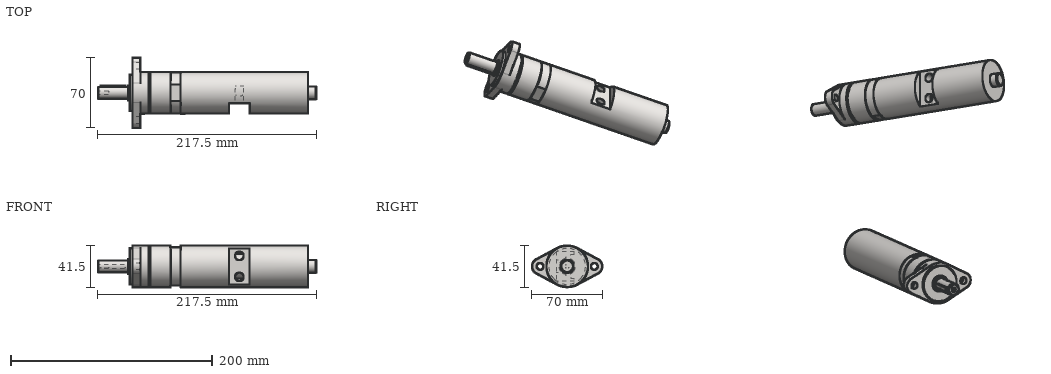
import cadquery as cq
import math

length = 217.5
body_dia = 41.5

seal_start = 30.2
pilot_start = 31.5
flange_start = 34.4
neck_start = 50.5
neck_end = 52.2
wrench_start = 72.2
wrench_end = 82.2
body_end = 209.2

shaft_dia = 12.0
shaft_chamfer = 0.9
stub_dia = 13.0
stub_chamfer_length = 1.0
stub_chamfer_depth = 0.7
key_start = 2.6
key_length = 25.0
key_width = 4.0
key_height = 1.5
center_hole_dia = 3.3
center_hole_depth = 10.9
center_sink_dia = 4.4
drill_tip_angle = 118.0

seal_dia = 15.0
seal_recess_dia = 16.0
seal_recess_depth = 0.7

pilot_dia = 36.0
flange_thickness = 8.0
ear_radius = 8.0
ear_offset = 27.0
mount_hole_dia = 6.5

neck_dia = 36.0
edge_chamfer = 0.7
edge_drop = 0.2
wrench_across = 38.0

port_face_x = 140.7
port_face_width = 20.5
port_face_offset = 10.5
port_dia = 8.5
port_spacing = 20.9
port_depth = 17.5
core_dia = 24.1


def rod(start, end, diameter):
    """Solid cylinder along X between two stations."""
    return cq.Workplane("YZ", origin=(start, 0, 0)).circle(diameter / 2).extrude(end - start)


def cone(start, end, start_dia, end_dia):
    """Solid cone along X between two stations."""
    base = cq.Vector(start, 0, 0)
    axis = cq.Vector(1, 0, 0)
    return cq.Workplane(cq.Solid.makeCone(start_dia / 2, end_dia / 2, end - start, base, axis))


def make_shaft():
    """Full-length shaft: chamfered output end, round-ended key and rear stub."""
    shaft = rod(0, body_end, shaft_dia).faces("<X").chamfer(shaft_chamfer)
    stub_edge = length - stub_chamfer_length
    stub_tip = cone(stub_edge, length, stub_dia, stub_dia - 2 * stub_chamfer_depth)
    stub = rod(body_end, stub_edge, stub_dia).union(stub_tip)
    key = (
        cq.Workplane("XZ", origin=(key_start + key_length / 2, 0, 0))
        .slot2D(key_length, key_width)
        .extrude(-(shaft_dia / 2 + key_height))
    )
    return shaft.union(stub).union(key)


def make_center_hole():
    """Blind hole in the shaft tip with a countersunk mouth and a drill-point bottom."""
    tip_length = center_hole_dia / 2 / math.tan(math.radians(drill_tip_angle / 2))
    tip_end = center_hole_depth + tip_length
    sink_depth = (center_sink_dia - center_hole_dia) / 2
    bore = rod(0, center_hole_depth, center_hole_dia)
    tip = cone(center_hole_depth, tip_end, center_hole_dia, 0)
    return bore.union(tip).union(cone(0, sink_depth, center_sink_dia, center_hole_dia))


def make_flange():
    """Two-eared flange whose straight sides are tangent to the body and to the ears."""
    slope = (body_dia / 2 - ear_radius) / ear_offset
    rise = math.sqrt(1 - slope**2)
    body_y, body_z = body_dia / 2 * slope, body_dia / 2 * rise
    ear_y, ear_z = ear_offset + ear_radius * slope, ear_radius * rise
    ear_tip = ear_offset + ear_radius
    return (
        cq.Workplane("YZ", origin=(flange_start, 0, 0))
        .moveTo(-body_y, body_z)
        .threePointArc((0, body_dia / 2), (body_y, body_z))
        .lineTo(ear_y, ear_z)
        .threePointArc((ear_tip, 0), (ear_y, -ear_z))
        .lineTo(body_y, -body_z)
        .threePointArc((0, -body_dia / 2), (-body_y, -body_z))
        .lineTo(-ear_y, -ear_z)
        .threePointArc((-ear_tip, 0), (-ear_y, ear_z))
        .close()
        .pushPoints([(-ear_offset, 0), (ear_offset, 0)])
        .circle(mount_hole_dia / 2)
        .extrude(flange_thickness)
    )


def make_wrench_ring():
    """Section of the housing with two wrench flats, top and bottom."""
    ring = cone(wrench_start, wrench_start + edge_chamfer, body_dia - 2 * edge_drop, body_dia)
    ring = ring.union(rod(wrench_start + edge_chamfer, wrench_end, body_dia))
    flats = cq.Workplane("XY").box(length, body_dia, wrench_across).translate((length / 2, 0, 0))
    return ring.intersect(flats)


def make_housing():
    """Pilot, gearbox and motor housing, without the flange ears."""
    recess_floor = pilot_start + seal_recess_depth
    recess = rod(pilot_start, recess_floor, seal_recess_dia)
    pilot = rod(pilot_start, flange_start, pilot_dia).cut(recess)
    motor_edge = wrench_end + edge_chamfer
    sections = [
        rod(seal_start, recess_floor, seal_dia),
        rod(flange_start, neck_start, body_dia),
        rod(neck_start, neck_end, neck_dia),
        rod(neck_end, wrench_start, body_dia),
        make_wrench_ring(),
        cone(wrench_end, motor_edge, body_dia - 2 * edge_drop, body_dia),
        rod(motor_edge, body_end, body_dia),
    ]
    housing = pilot
    for section in sections:
        housing = housing.union(section)
    return housing


def make_port_cutters():
    """Cutters for the flat pocket on the -Y side and two ports, each ending on a crowned floor."""
    floor_y = port_depth - port_face_offset
    pocket_depth = body_dia / 2 - port_face_offset
    pocket = (
        cq.Workplane("XY")
        .box(port_face_width, pocket_depth, body_dia)
        .translate((port_face_x, -port_face_offset - pocket_depth / 2, 0))
    )
    ports = (
        cq.Workplane("XZ", origin=(port_face_x, 0, 0))
        .pushPoints([(0, -port_spacing / 2), (0, port_spacing / 2)])
        .circle(port_dia / 2)
        .extrude(port_depth)
        .translate((0, floor_y, 0))
        .cut(rod(wrench_end, body_end, core_dia).translate((0, floor_y, 0)))
    )
    return pocket, ports


result = make_housing().union(make_flange()).union(make_shaft()).cut(make_center_hole())
for cutter in make_port_cutters():
    result = result.cut(cutter)